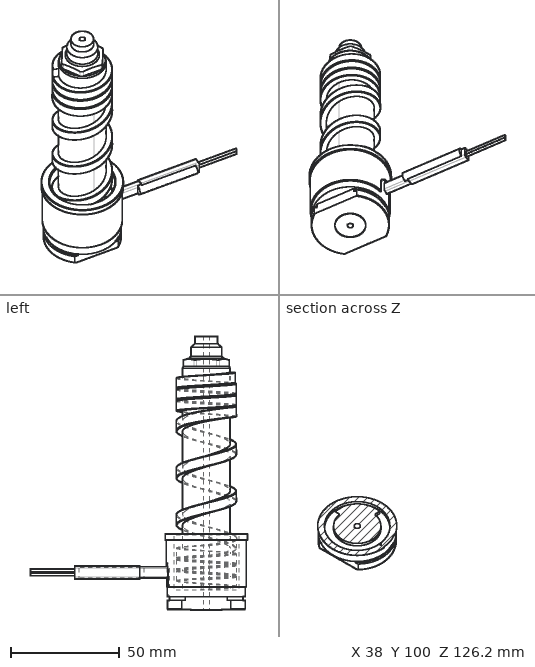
import cadquery as cq
import math

total_height = 126.2
bore_through_diameter = 2.6

foot_radius = 7.1
foot_height = 0.4
base_radius = 18.0
groove_radius = 17.0
groove_bottom_z = 4.6
groove_top_z = 6.4
flats_width = 28.0
base_edge_chamfer = 0.3

housing_bottom_z = 10.6
housing_radius = 18.5
housing_edge_chamfer = 0.4
flange_radius = 19.0
flange_bottom_z = 32.2
flange_top_z = 35.4
flange_edge_chamfer = 0.3
bore_radius = 15.0
bore_chamfer = 0.5

stem_radius = 11.0
stem_top_z = 112.5
stem_chamfer_width = 0.45
stem_chamfer_height = 0.9
hex_across_flats = 18.8
hex_corner_radius = 1.5
hex_rim_z = 115.3
hex_rim_radius = 10.7
collar_z = 116.2
collar_radius = 7.9
neck_radius = 7.15
neck_bottom_z = 116.96
neck_top_z = 121.15
tip_base_z = 122.9
tip_radius = 5.25

spring_radius = 13.9
wire_width = 3.2
wire_height = 4.9
wire_edge_chamfer = 0.3
closed_pitch = 5.25
open_pitch = 21.6
blend_turns = 0.34
top_closed_turns = 3.0375
active_turns = 3.2
bottom_closed_turns = 3.0
spring_top_z = 109.6
spring_top_angle = 254.5
path_steps = 200

lead_x = -1.35
lead_z = 17.5
cable_width = 3.3
cable_height = 5.3
cable_corner_radius = 0.8
crimp_width = 3.9
crimp_height = 6.1
crimp_corner_radius = 0.95
crimp_start_y = 30.7
crimp_end_y = 60.7
tube_radius = 2.5
tube_start_y = 28.85
tube_end_y = 58.85
wire_diameter = 1.35
wire_spacing = 1.9
wire_end_y = 81.0
lead_slot_width = 9.0


def cylinder(radius, bottom_z, top_z):
    return cq.Workplane("XY").workplane(offset=bottom_z).circle(radius).extrude(top_z - bottom_z)


def make_base():
    """Foot, grooved base with two flats, and the core inside the housing."""
    disc = cylinder(base_radius, foot_height, groove_bottom_z).faces("<Z").chamfer(base_edge_chamfer)
    disc = disc.union(cylinder(groove_radius, groove_bottom_z, groove_top_z))
    flats_height = groove_top_z - foot_height
    flats = (
        cq.Workplane("XY")
        .workplane(offset=foot_height)
        .rect(flats_width, 2 * base_radius)
        .extrude(flats_height)
    )
    core = cylinder(base_radius, groove_top_z, flange_bottom_z)
    return disc.intersect(flats).union(core).union(cylinder(foot_radius, 0, foot_height))


def make_housing():
    """Sleeve with an arched slot for the lead, and the flange above it."""
    sleeve = cylinder(housing_radius, housing_bottom_z, flange_bottom_z)
    sleeve = sleeve.faces("<Z").chamfer(housing_edge_chamfer)
    sleeve = sleeve.cut(cylinder(base_radius, housing_bottom_z, flange_bottom_z))
    slot_radius = lead_slot_width / 2
    slot = (
        cq.Workplane("XZ")
        .moveTo(lead_x - slot_radius, housing_bottom_z)
        .lineTo(lead_x - slot_radius, lead_z)
        .threePointArc((lead_x, lead_z + slot_radius), (lead_x + slot_radius, lead_z))
        .lineTo(lead_x + slot_radius, housing_bottom_z)
        .close()
        .extrude(-flange_radius)
    )
    flange = cylinder(flange_radius, flange_bottom_z, flange_top_z)
    flange = flange.faces("<Z or >Z").chamfer(flange_edge_chamfer)
    return sleeve.cut(slot).union(flange)


def make_stem():
    """Round stem carrying the hexagon and the stepped nose."""
    stem = (
        cq.Workplane("XZ")
        .moveTo(0, groove_top_z)
        .lineTo(stem_radius, groove_top_z)
        .lineTo(stem_radius, stem_top_z - stem_chamfer_height)
        .lineTo(stem_radius - stem_chamfer_width, stem_top_z)
        .lineTo(0, stem_top_z)
        .close()
        .revolve(360, (0, 0), (0, 1))
    )
    nose = (
        cq.Workplane("XZ")
        .moveTo(0, stem_top_z)
        .lineTo(hex_rim_radius, stem_top_z)
        .lineTo(hex_rim_radius, hex_rim_z)
        .lineTo(collar_radius, collar_z)
        .lineTo(neck_radius, neck_bottom_z)
        .lineTo(neck_radius, neck_top_z)
        .lineTo(tip_radius, tip_base_z)
        .lineTo(tip_radius, total_height)
        .lineTo(0, total_height)
        .close()
        .revolve(360, (0, 0), (0, 1))
    )
    hexagon = (
        cq.Workplane("XY")
        .workplane(offset=stem_top_z)
        .polygon(6, hex_across_flats, circumscribed=True)
        .extrude(total_height - stem_top_z)
        .edges("|Z")
        .fillet(hex_corner_radius)
    )
    return stem.union(nose.intersect(hexagon))


def blended_turns(turns):
    """Turns of full extra pitch gained after a pitch ramp that starts at zero turns."""
    ramp = min(max(turns, 0), blend_turns)
    return ramp**2 / (2 * blend_turns) + max(turns - blend_turns, 0)


def wire_climb(turns):
    """Height gained by the wire centre over a number of turns from the bottom end."""
    opening = blended_turns(turns - bottom_closed_turns)
    closing = blended_turns(turns - (bottom_closed_turns + active_turns - blend_turns))
    return closed_pitch * turns + (open_pitch - closed_pitch) * (opening - closing)


spring_turns = bottom_closed_turns + active_turns + top_closed_turns
spring_bottom_z = spring_top_z - wire_climb(spring_turns) - wire_height


def make_spring():
    """One right-hand wire whose pitch is closed, open and closed again."""
    wire_centre = spring_radius - wire_width / 2
    bottom_angle = spring_top_angle - 360 * spring_turns

    path_points = []
    for step in range(path_steps + 1):
        turns = spring_turns * step / path_steps
        angle = 2 * math.pi * turns
        x = wire_centre * math.cos(angle)
        y = wire_centre * math.sin(angle)
        path_points.append((x, y, wire_climb(turns)))

    path = cq.Workplane("XY").spline(path_points)
    inner_radius = spring_radius - wire_width
    half_height = wire_height / 2
    section = (
        cq.Workplane("XZ")
        .moveTo(inner_radius, -half_height)
        .lineTo(spring_radius - wire_edge_chamfer, -half_height)
        .lineTo(spring_radius, -half_height + wire_edge_chamfer)
        .lineTo(spring_radius, half_height - wire_edge_chamfer)
        .lineTo(spring_radius - wire_edge_chamfer, half_height)
        .lineTo(inner_radius, half_height)
        .close()
    )
    spring = section.sweep(path, isFrenet=True)
    spring = spring.rotate((0, 0, 0), (0, 0, 1), bottom_angle)
    return spring.translate((0, 0, spring_bottom_z + half_height))


def make_spring_bore():
    """Round bore for the spring, with a chamfered mouth."""
    bore = cylinder(bore_radius, spring_bottom_z, flange_top_z)
    mouth = (
        cq.Workplane("XY")
        .workplane(offset=flange_top_z - bore_chamfer)
        .circle(bore_radius)
        .workplane(offset=bore_chamfer)
        .circle(bore_radius + bore_chamfer)
        .loft()
    )
    return bore.union(mouth)


def lead_bar(start_y, end_y, width, height, corner_radius):
    bar = cq.Workplane("XZ", origin=(lead_x, start_y, lead_z)).rect(width, height)
    return bar.extrude(start_y - end_y).edges("|Y").fillet(corner_radius)


def make_lead():
    """Flat cable with its two sleeves and the pair of bare wires."""
    cable_start_y = (bore_radius + base_radius) / 2
    lead = lead_bar(cable_start_y, crimp_end_y, cable_width, cable_height, cable_corner_radius)
    lead = lead.union(lead_bar(crimp_start_y, crimp_end_y, crimp_width, crimp_height, crimp_corner_radius))
    tube = cq.Workplane("XZ", origin=(0, tube_start_y, lead_z)).circle(tube_radius)
    lead = lead.union(tube.extrude(tube_start_y - tube_end_y))
    wires = (
        cq.Workplane("XZ", origin=(lead_x, crimp_end_y, lead_z))
        .pushPoints([(0, -wire_spacing / 2), (0, wire_spacing / 2)])
        .circle(wire_diameter / 2)
        .extrude(crimp_end_y - wire_end_y)
    )
    return lead.union(wires)


stem_with_spring = make_stem().union(make_spring())
body = make_base().union(make_housing()).cut(make_spring_bore()).union(make_lead())
body = body.union(stem_with_spring)
result = body.cut(cylinder(bore_through_diameter / 2, 0, total_height))